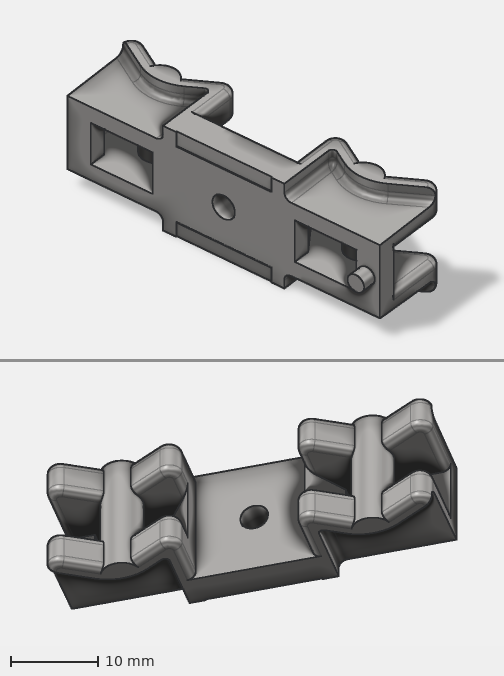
import cadquery as cq
import math

LENGTH = 46.0
WIDTH = 15.0
HEIGHT = 11.4
half_length = LENGTH / 2
half_width = WIDTH / 2

FLOOR_HEIGHT = 2.5
MIDDLE_HEIGHT = 4.15
CHANNEL_WIDTH = 5.95
half_channel = CHANNEL_WIDTH / 2

SADDLE_LENGTH = 16.0
V_ANGLE = math.radians(30)
TIP_RADIUS = 1.5
EDGE_RADIUS = 1.0
half_saddle = SADDLE_LENGTH / 2
saddle_x = half_length - half_saddle
inner_x = half_length - SADDLE_LENGTH
valley_height = (
    HEIGHT - TIP_RADIUS + TIP_RADIUS / math.cos(V_ANGLE)
    - (half_saddle - TIP_RADIUS) * math.tan(V_ANGLE)
)
peak_height = valley_height + half_saddle * math.tan(V_ANGLE)

BAR_RADIUS = 2.5
BAR_HEIGHT = 6.95

WEB_ANGLE = math.radians(55)

POCKET_CREST = 6.6
POCKET_ARC_RADIUS = 6.4
POCKET_INNER_X = 8.92
POCKET_FILLET = 1.0
POCKET_CORNER_RADIUS = 0.55
CORE_HALF_WIDTH = 5.25
POCKET_DRAFT = math.radians(1.2)

WINDOW_LENGTH = 9.05
HOLE_DIAMETER = 3.3
LABEL_WIDTH = 2.05
LABEL_DEPTH = 0.15
PIN_DIAMETER = 2.45
PIN_LENGTH = 2.0
PIN_X = 21.0

OVERRUN = 2.3


def box(x0, x1, y0, y1, z0, z1):
    return cq.Workplane("XY").box(x1 - x0, y1 - y0, z1 - z0, centered=False).translate((x0, y0, z0))


def both_ends(shape):
    return shape.union(shape.mirror("YZ"))


def both_sides(shape):
    return shape.union(shape.mirror("XY"))


def make_base():
    floor = box(-half_length, half_length, 0, FLOOR_HEIGHT, -half_width, half_width)
    half_middle = inner_x + EDGE_RADIUS
    return floor.union(box(-half_middle, half_middle, 0, MIDDLE_HEIGHT, -half_width, half_width))


def make_cheek():
    """V-topped wall at +X, +Z with rounded tips and edges."""
    cheek = (
        cq.Workplane("XY", origin=(saddle_x, 0, half_channel))
        .moveTo(-half_saddle, FLOOR_HEIGHT)
        .lineTo(-half_saddle, peak_height)
        .lineTo(0, valley_height)
        .lineTo(half_saddle, peak_height)
        .lineTo(half_saddle, FLOOR_HEIGHT)
        .close()
        .extrude(half_width - half_channel)
    )
    cheek = cheek.edges("|Z").edges(">Y").fillet(TIP_RADIUS)
    profile_edges = cheek.faces("<Z or >Z").edges().edges("not(<Y)")
    return profile_edges.fillet(EDGE_RADIUS)


def make_bar():
    """Round bar at +X, running across both cheeks."""
    return (
        cq.Workplane("XY", origin=(saddle_x, BAR_HEIGHT, -half_width))
        .circle(BAR_RADIUS)
        .extrude(WIDTH)
    )


def make_web():
    """Sloped web at +X, let into the rounded cheek edges on both sides."""
    foot_x = saddle_x - WINDOW_LENGTH / 2
    top_height = FLOOR_HEIGHT + (foot_x - inner_x) * math.tan(WEB_ANGLE)
    return (
        cq.Workplane("XY", origin=(0, 0, -half_channel - EDGE_RADIUS))
        .polyline([(foot_x, FLOOR_HEIGHT), (inner_x, top_height), (inner_x, FLOOR_HEIGHT)])
        .close()
        .extrude(CHANNEL_WIDTH + 2 * EDGE_RADIUS)
    )


def make_pocket():
    """Cutter for the +X, +Z pocket: arched top, drafted floor, filleted floor edge."""
    arc_half = POCKET_ARC_RADIUS * math.sin(V_ANGLE)
    arc_end_height = POCKET_CREST + POCKET_ARC_RADIUS * (1 - math.cos(V_ANGLE))

    def slope_height(x):
        return arc_end_height + (abs(x - saddle_x) - arc_half) * math.tan(V_ANGLE)

    outer_x = half_length + OVERRUN
    bottom = -OVERRUN
    pocket = (
        cq.Workplane("XY")
        .moveTo(POCKET_INNER_X, bottom)
        .lineTo(POCKET_INNER_X, slope_height(POCKET_INNER_X))
        .lineTo(saddle_x - arc_half, arc_end_height)
        .threePointArc((saddle_x, POCKET_CREST), (saddle_x + arc_half, arc_end_height))
        .lineTo(outer_x, slope_height(outer_x))
        .lineTo(outer_x, bottom)
        .close()
        .extrude(half_width + OVERRUN)
    )
    corner = cq.selectors.NearestToPointSelector(
        (POCKET_INNER_X, slope_height(POCKET_INNER_X), half_width / 2)
    )
    pocket = pocket.edges("|Z").edges(corner).fillet(POCKET_CORNER_RADIUS)

    def core_half_width(y):
        return CORE_HALF_WIDTH + y * math.tan(POCKET_DRAFT)

    core_bottom = 2 * bottom
    core_top = HEIGHT + 2 * OVERRUN
    core = (
        cq.Workplane("YZ")
        .polyline([
            (core_bottom, -OVERRUN),
            (core_bottom, core_half_width(core_bottom)),
            (core_top, core_half_width(core_top)),
            (core_top, -OVERRUN),
        ])
        .close()
        .extrude(LENGTH)
    )
    pocket = pocket.cut(core)
    return pocket.faces("<Z").edges("not(<Y or >X)").fillet(POCKET_FILLET)


def make_windows_and_hole():
    windows = (
        cq.Workplane("XZ", origin=(0, -OVERRUN, 0))
        .pushPoints([(-saddle_x, 0), (saddle_x, 0)])
        .rect(WINDOW_LENGTH, CHANNEL_WIDTH)
        .extrude(-FLOOR_HEIGHT - OVERRUN)
    )
    hole = (
        cq.Workplane("XZ", origin=(0, -OVERRUN, 0))
        .circle(HOLE_DIAMETER / 2)
        .extrude(-MIDDLE_HEIGHT - 2 * OVERRUN)
    )
    return windows.union(hole)


def make_label_recess():
    """Shallow recess in the base at +Z, as long as the gap between the saddles."""
    return box(
        -inner_x, inner_x,
        -OVERRUN, LABEL_DEPTH,
        half_width - LABEL_WIDTH, half_width + OVERRUN,
    )


def make_pin():
    return cq.Workplane("XZ", origin=(PIN_X, 0, 0)).circle(PIN_DIAMETER / 2).extrude(PIN_LENGTH)


saddle = both_sides(make_cheek()).union(make_bar()).union(make_web())
result = make_base().union(both_ends(saddle))
result = result.cut(both_ends(both_sides(make_pocket())))
result = result.cut(make_windows_and_hole())
result = result.cut(both_sides(make_label_recess()))
result = result.union(make_pin())